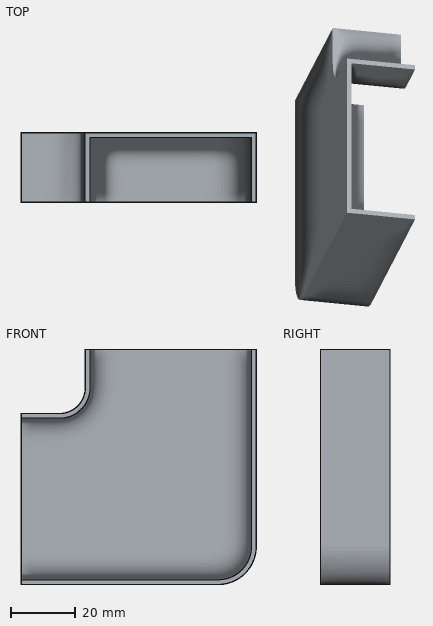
import cadquery as cq

duct_width = 53.4
leg_length = 20.0
depth = 21.8
wall = 1.5
outside_radius = 12.0
inside_radius = 8.0

size = duct_width + leg_length
half_size = size / 2


def elbow_prism(inset, length):
    """L-shaped prism running from the open front (-Y) toward the back.

    The curved side walls are moved inward by `inset`; the open ends stay put.
    """
    left = -half_size
    top = half_size
    right = half_size - inset
    bottom = -half_size + inset
    notch_x = left + leg_length + inset
    notch_z = top - leg_length - inset
    large_bend = outside_radius - inset
    small_bend = inside_radius + inset

    outline = (
        cq.Workplane("XZ", origin=(0, -depth / 2, 0))
        .moveTo(left, bottom)
        .lineTo(right - large_bend, bottom)
        .radiusArc((right, bottom + large_bend), -large_bend)
        .lineTo(right, top)
        .lineTo(notch_x, top)
        .lineTo(notch_x, notch_z + small_bend)
        .radiusArc((notch_x - small_bend, notch_z), small_bend)
        .lineTo(left, notch_z)
        .close()
    )
    return outline.extrude(-length)


body = elbow_prism(0, depth)
cavity = elbow_prism(wall, depth - wall)
result = body.cut(cavity)